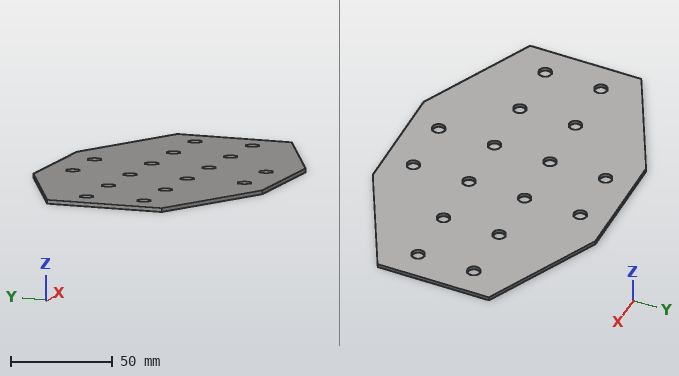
import cadquery as cq

length = 180.0
thickness = 2.0
hole_diameter = 6.7
columns = 6
rows = 4

pitch = length / columns
width = rows * pitch
half_edge = pitch


def plate():
    """Flat octagonal plate, symmetric about X and Y."""
    half_length = length / 2
    half_width = width / 2
    outline = [
        (half_edge, half_width),
        (half_length, half_edge),
        (half_length, -half_edge),
        (half_edge, -half_width),
        (-half_edge, -half_width),
        (-half_length, -half_edge),
        (-half_length, half_edge),
        (-half_edge, half_width),
    ]
    return cq.Workplane("XY").polyline(outline).close().extrude(thickness)


def drill_grid(body, column_count, row_count, row_spacing):
    """Drill a centred rectangular grid of through holes, one pitch apart along X."""
    return (
        body.faces(">Z")
        .workplane(origin=(0, 0, thickness))
        .rarray(pitch, row_spacing, column_count, row_count)
        .hole(hole_diameter)
    )


outer_row_spacing = (rows - 1) * pitch
result = drill_grid(plate(), columns, 2, pitch)
result = drill_grid(result, 2, 2, outer_row_spacing)